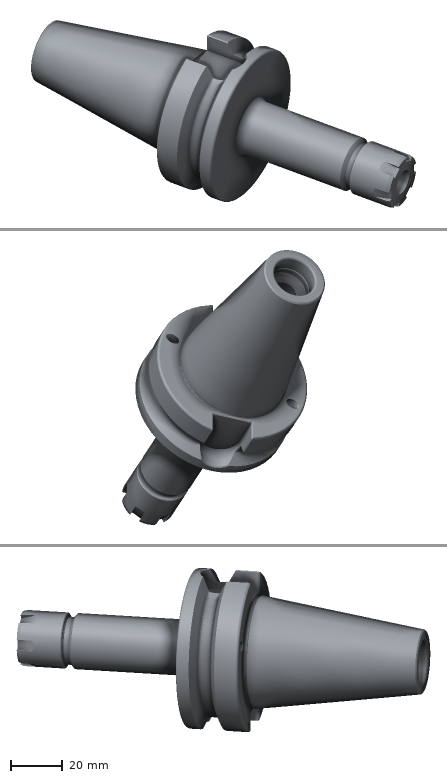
import cadquery as cq
import math


gauge_radius = 44.45 / 2
taper_length = 65.4
taper_ratio = 7 / 24
small_end_radius = gauge_radius - taper_length * taper_ratio / 2
small_end_chamfer = 0.5
taper_overrun = 0.4
taper_end_radius = gauge_radius + taper_overrun * taper_ratio / 2
relief_radius = 21.6
relief_run = 0.4
relief_fillet = 0.9

flange_start = 2.0
flange_end = 27.0
flange_radius = 31.5
flange_edge_fillet = 1.0
groove_center = 16.6
groove_floor_radius = 26.5
groove_floor_width = 4.4
groove_half_angle = math.radians(30)
groove_corner_fillet = 0.6

slot_width = 16.1
slot_end = 23.6
slot_floor = 22.6
slot_edge_chamfer = 0.4

coolant_diameter = 4.0
coolant_circle_radius = 26.8
coolant_angle = 20.0
coolant_tilt = 45.0
coolant_depth = 10.0

neck_radius = 11.0
neck_base_fillet = 4.0
neck_base_radius = 12.35
neck_end = 73.3
tip_start = 74.7
tip_radius = 9.4
tip_end = 76.7

bore_radius = 5.0
pilot_radius = 8.5
mouth_fillet = 0.95
pilot_depth = 6.7
thread_radius = 8.2
thread_depth = 9.2
drill_radius = 7.0
drill_half_angle = math.radians(59)

nut_start = 77.3
nut_end = 95.2
nut_radius = 11.0
nut_collar_radius = 8.8
nut_back_chamfer = 0.3
nut_front_chamfer = 1.5
nut_front_drop = 0.4
key_slot_count = 6
key_slot_width = 4.4
key_slot_start = 88.3
key_slot_end_depth = 2.3


def revolve_about_x(outline):
    return outline.close().revolve(360, (0, 0, 0), (1, 0, 0))


def body_blank():
    neck_run = neck_base_radius - neck_radius
    fillet_length = math.sqrt(neck_base_fillet**2 - (neck_base_fillet - neck_run) ** 2)
    outline = (
        cq.Workplane("XZ")
        .moveTo(-taper_length, 0)
        .lineTo(-taper_length, small_end_radius - small_end_chamfer)
        .lineTo(-taper_length + small_end_chamfer, small_end_radius + small_end_chamfer * taper_ratio / 2)
        .lineTo(taper_overrun, taper_end_radius)
        .lineTo(taper_overrun + relief_run, relief_radius)
        .lineTo(flange_start, relief_radius)
        .lineTo(flange_start, flange_radius - flange_edge_fillet)
        .radiusArc((flange_start + flange_edge_fillet, flange_radius), flange_edge_fillet)
        .lineTo(flange_end - flange_edge_fillet, flange_radius)
        .radiusArc((flange_end, flange_radius - flange_edge_fillet), flange_edge_fillet)
        .lineTo(flange_end, neck_base_radius)
        .radiusArc((flange_end + fillet_length, neck_radius), -neck_base_fillet)
        .lineTo(neck_end, neck_radius)
        .lineTo(tip_start, tip_radius)
        .lineTo(tip_end, tip_radius)
        .lineTo(tip_end, 0)
    )
    return revolve_about_x(outline)


def relief_corner():
    """The ring that rounds the corner between the relief and the back of the flange."""
    fillet_start = flange_start - relief_fillet
    fillet_end_radius = relief_radius + relief_fillet
    outline = (
        cq.Workplane("XZ")
        .moveTo(fillet_start, relief_radius)
        .radiusArc((flange_start, fillet_end_radius), -relief_fillet)
        .lineTo(flange_start, relief_radius)
    )
    return revolve_about_x(outline)


def v_groove():
    flank_run = (flange_radius - groove_floor_radius) * math.tan(groove_half_angle)
    half_floor = groove_floor_width / 2
    half_mouth = half_floor + flank_run
    setback = groove_corner_fillet * math.tan((math.pi / 2 - groove_half_angle) / 2)
    half_flat = half_floor - setback
    half_flank_foot = half_floor + setback * math.sin(groove_half_angle)
    flank_foot_radius = groove_floor_radius + setback * math.cos(groove_half_angle)
    outline = (
        cq.Workplane("XZ")
        .moveTo(groove_center - half_mouth, flange_radius)
        .lineTo(groove_center - half_flank_foot, flank_foot_radius)
        .radiusArc((groove_center - half_flat, groove_floor_radius), -groove_corner_fillet)
        .lineTo(groove_center + half_flat, groove_floor_radius)
        .radiusArc((groove_center + half_flank_foot, flank_foot_radius), -groove_corner_fillet)
        .lineTo(groove_center + half_mouth, flange_radius)
        .lineTo(groove_center + half_mouth, flange_radius + 1)
        .lineTo(groove_center - half_mouth, flange_radius + 1)
    )
    return revolve_about_x(outline)


def drawbar_hole():
    back = -taper_length
    pilot_end = back + pilot_depth
    thread_start = pilot_end + pilot_radius - thread_radius
    thread_end = back + thread_depth
    drill_start = thread_end + thread_radius - drill_radius
    drill_end = drill_start + (drill_radius - bore_radius) / math.tan(drill_half_angle)
    outline = (
        cq.Workplane("XZ")
        .moveTo(back, 0)
        .lineTo(back, pilot_radius + mouth_fillet)
        .radiusArc((back + mouth_fillet, pilot_radius), -mouth_fillet)
        .lineTo(pilot_end, pilot_radius)
        .lineTo(thread_start, thread_radius)
        .lineTo(thread_end, thread_radius)
        .lineTo(drill_start, drill_radius)
        .lineTo(drill_end, bore_radius)
        .lineTo(tip_end, bore_radius)
        .lineTo(tip_end, 0)
    )
    return revolve_about_x(outline)


def drive_slot(side):
    half_width = slot_width / 2
    arc_start = slot_end - half_width
    plan = (
        cq.Workplane("XY", origin=(0, 0, side * slot_floor))
        .moveTo(0, -half_width)
        .lineTo(arc_start, -half_width)
        .threePointArc((slot_end, 0), (arc_start, half_width))
        .lineTo(0, half_width)
        .close()
    )
    return plan.extrude(side * flange_radius)


def coolant_hole(turn):
    tilt = math.radians(coolant_tilt)
    start = cq.Vector(flange_start, coolant_circle_radius, 0)
    direction = cq.Vector(math.cos(tilt), -math.sin(tilt), 0)
    drill = cq.Solid.makeCylinder(
        coolant_diameter / 2,
        coolant_depth + coolant_diameter,
        start - direction * coolant_diameter,
        direction,
    )
    return drill.rotate(cq.Vector(0, 0, 0), cq.Vector(1, 0, 0), turn)


def on_slot_mouth(edge):
    """Tell whether an edge is where a drive slot breaks out of the back face or the rim of the flange."""
    margin = 0.01
    box = edge.BoundingBox()
    middle = edge.positionAt(0.5)
    in_slot = max(abs(box.ymin), abs(box.ymax)) < slot_width / 2 + margin and box.xmax < slot_end + margin
    on_back_face = abs(box.xmin - flange_start) < margin and abs(box.xmax - flange_start) < margin
    on_rim = math.hypot(middle.y, middle.z) > flange_radius - flange_edge_fillet
    return in_slot and abs(middle.z) > slot_floor - margin and (on_back_face or on_rim)


def chamfer_slot_mouths(holder):
    edges = [edge for edge in holder.edges().vals() if on_slot_mouth(edge)]
    return holder.newObject(edges).chamfer(slot_edge_chamfer)


def make_holder():
    holder = body_blank()
    for side in (1, -1):
        holder = holder.cut(drive_slot(side))
    holder = chamfer_slot_mouths(holder).union(relief_corner())
    holder = holder.cut(v_groove())
    holder = holder.cut(drawbar_hole())
    for turn in (coolant_angle, coolant_angle + 180):
        holder = holder.cut(cq.Workplane(coolant_hole(turn)))
    return holder


def nut_blank():
    outline = (
        cq.Workplane("XZ")
        .moveTo(tip_end, bore_radius)
        .lineTo(tip_end, nut_collar_radius)
        .lineTo(nut_start, tip_radius)
        .lineTo(nut_start, nut_radius - nut_back_chamfer)
        .lineTo(nut_start + nut_back_chamfer, nut_radius)
        .lineTo(nut_end - nut_front_chamfer, nut_radius)
        .lineTo(nut_end, nut_radius - nut_front_drop)
        .lineTo(nut_end, bore_radius)
    )
    return revolve_about_x(outline)


def key_slot(turn):
    half_width = key_slot_width / 2
    wedge = (
        cq.Workplane("XY", origin=(0, 0, -half_width))
        .moveTo(key_slot_start, nut_radius)
        .lineTo(nut_end, nut_radius - key_slot_end_depth)
        .lineTo(nut_end, nut_radius + key_slot_end_depth)
        .lineTo(key_slot_start, nut_radius + key_slot_end_depth)
        .close()
        .extrude(key_slot_width)
    )
    return wedge.rotate((0, 0, 0), (1, 0, 0), turn)


def make_nut():
    nut = nut_blank()
    for index in range(key_slot_count):
        nut = nut.cut(key_slot(index * 360 / key_slot_count))
    return nut


holder = make_holder()
nut = make_nut()

result = cq.Compound.makeCompound([holder.val(), nut.val()])